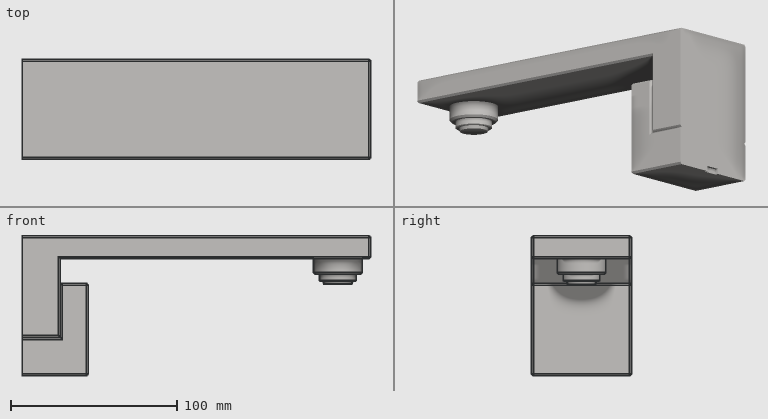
import cadquery as cq

LENGTH = 210.0
WIDTH = 60.3
HEIGHT = 84.5
CHAMFER = 1.3

PLATE_THICKNESS = 13.9
LEG_THICKNESS = 23.0
LEG_HEIGHT = 61.3

BASE_LENGTH = 40.0
BASE_HEIGHT = 55.9
FOOT_THICKNESS = HEIGHT - LEG_HEIGHT

NOTCH_WIDTH = 9.7
NOTCH_HEIGHT = 3.2
NOTCH_DEPTH = 2.0

HEAD_INSET = 20.0
HEAD_X = LENGTH - HEAD_INSET
PLATE_UNDERSIDE = HEIGHT - PLATE_THICKNESS
COLLAR_RADIUS = 14.7
COLLAR_HEIGHT = 9.5
RING_RADIUS = 11.1
RING_HEIGHT = 4.0
RING_CHAMFER_HEIGHT = 0.5
RING_CHAMFER_WIDTH = 0.6
TIP_TOP_RADIUS = 9.0
TIP_BOTTOM_RADIUS = 8.5
TIP_HEIGHT = 1.9


def extrude_profile(points):
    """Extrude an XZ outline symmetrically about the XZ plane to the full width."""
    return cq.Workplane("XZ").polyline(points).close().extrude(WIDTH / 2, both=True)


def chamfer_outline(body):
    """Chamfer both side outlines and the +X end; the flat -X face stays sharp."""
    side_edges = body.faces("<Y or >Y").edges("not <X")
    end_edges = body.faces(">X").edges("|Y")
    return body.newObject(side_edges.vals() + end_edges.vals()).chamfer(CHAMFER)


def make_arm():
    arm = extrude_profile([
        (0, FOOT_THICKNESS),
        (LEG_THICKNESS, FOOT_THICKNESS),
        (LEG_THICKNESS, PLATE_UNDERSIDE),
        (LENGTH, PLATE_UNDERSIDE),
        (LENGTH, HEIGHT),
        (0, HEIGHT),
    ])
    return chamfer_outline(arm)


def make_base():
    base = extrude_profile([
        (0, 0),
        (BASE_LENGTH, 0),
        (BASE_LENGTH, BASE_HEIGHT),
        (LEG_THICKNESS, BASE_HEIGHT),
        (LEG_THICKNESS, FOOT_THICKNESS),
        (0, FOOT_THICKNESS),
    ])
    notch = cq.Workplane("XY").box(NOTCH_DEPTH, NOTCH_WIDTH, NOTCH_HEIGHT, centered=(False, True, False))
    return chamfer_outline(base).cut(notch)


def disc_below(top, radius, height):
    """Make a head disc whose upper face lies at the given height."""
    return cq.Workplane("XY", origin=(HEAD_X, 0, top)).circle(radius).extrude(-height)


def make_collar():
    return disc_below(PLATE_UNDERSIDE, COLLAR_RADIUS, COLLAR_HEIGHT).faces("<Z").chamfer(CHAMFER)


def make_ring():
    top = PLATE_UNDERSIDE - COLLAR_HEIGHT
    ring = disc_below(top, RING_RADIUS, RING_HEIGHT)
    return ring.faces("<Z").chamfer(RING_CHAMFER_HEIGHT, RING_CHAMFER_WIDTH)


def make_tip():
    top = PLATE_UNDERSIDE - COLLAR_HEIGHT - RING_HEIGHT
    cone = cq.Solid.makeCone(
        TIP_TOP_RADIUS, TIP_BOTTOM_RADIUS, TIP_HEIGHT, pnt=cq.Vector(HEAD_X, 0, top), dir=cq.Vector(0, 0, -1)
    )
    return cq.Workplane(cone)


arm = make_arm()
base = make_base()
collar = make_collar()
ring = make_ring()
tip = make_tip()

result = cq.Compound.makeCompound([arm.val(), base.val(), collar.val(), ring.val(), tip.val()])